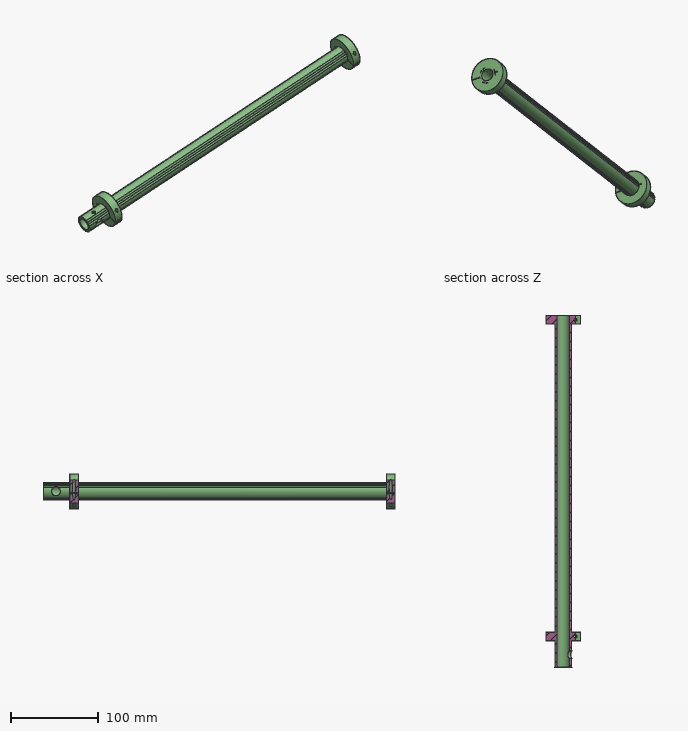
import cadquery as cq
import math

length = 400.0
tube_radius = 10.0
bore_radius = 7.0

flat_count = 3
first_flat_angle = 48.0
flat_half_angle = 22.0
flat_distance = tube_radius * math.cos(math.radians(flat_half_angle))
ridge_width = 2.5

hole_distance = 14.5
pin_hole_diameter = 4.0
side_hole_diameter = 10.0

collar_radius = 20.0
collar_thickness = 10.0
near_collar_start = 30.0
collar_starts = (near_collar_start, length - collar_thickness)
slit_width = 1.0
slit_angle = -8.0
hinge_slit_radius = 13.0
screw_offset = 14.5
screw_diameter = 3.0


def cylinder_along_y(radius, start, depth):
    return cq.Workplane("XZ", origin=(0, start, 0)).circle(radius).extrude(-depth)


def radial_slot(inner, outer, width, start, depth, angle):
    """Box spanning two radii, lying at an angle measured from +X towards +Z."""
    box = cq.Workplane("XY").box(outer - inner, depth, width)
    box = box.translate(((inner + outer) / 2, start + depth / 2, 0))
    return box.rotate((0, 0, 0), (0, 1, 0), -angle)


def make_tube():
    tube = cylinder_along_y(tube_radius, 0, length)
    for index in range(flat_count):
        angle = first_flat_angle + index * 360 / flat_count
        flat = radial_slot(flat_distance, collar_radius, 2 * tube_radius, 0, length, angle)
        ridge = radial_slot(0, tube_radius, ridge_width, 0, length, angle)
        tube = tube.cut(flat.cut(ridge))
    return tube.cut(cylinder_along_y(bore_radius, 0, length))


def cut_socket_holes(tube):
    """Drill one wall of the tube from +Z and one from +X."""
    pin_hole = (
        cq.Workplane("XY", origin=(0, hole_distance, 0))
        .circle(pin_hole_diameter / 2)
        .extrude(collar_radius)
    )
    side_hole = (
        cq.Workplane("YZ", origin=(0, hole_distance, 0))
        .circle(side_hole_diameter / 2)
        .extrude(collar_radius)
    )
    return tube.cut(pin_hole).cut(side_hole)


def make_collar(start):
    collar = cylinder_along_y(collar_radius, start, collar_thickness)
    collar = collar.cut(cylinder_along_y(tube_radius, start, collar_thickness))
    clamp_slit = radial_slot(
        bore_radius, 2 * collar_radius, slit_width, start, collar_thickness, slit_angle
    )
    hinge_slit = radial_slot(
        bore_radius, hinge_slit_radius, slit_width, start, collar_thickness, slit_angle + 180
    )
    screw_hole = (
        cq.Workplane("XY", origin=(screw_offset, start + collar_thickness / 2, 0))
        .circle(screw_diameter / 2)
        .extrude(collar_radius, both=True)
        .rotate((0, 0, 0), (0, 1, 0), -slit_angle)
    )
    return collar.cut(clamp_slit).cut(hinge_slit).cut(screw_hole)


result = cut_socket_holes(make_tube())
for collar_start in collar_starts:
    result = result.union(make_collar(collar_start))